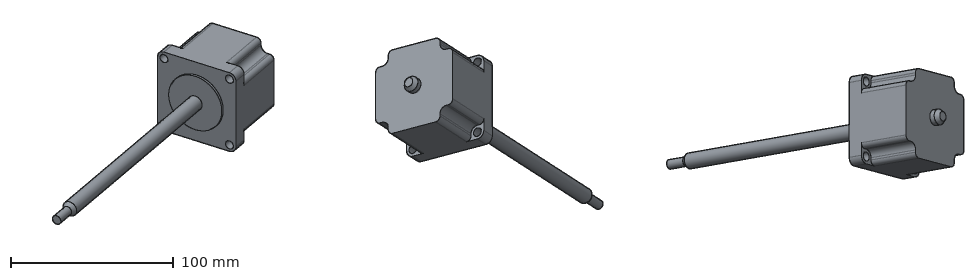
import cadquery as cq

total_length = 216.0
width = 56.3
half_width = width / 2

motor_length = 45.0
flange_thickness = 9.7
hole_offset = 23.5
hole_diameter = 5.6
corner_radius = half_width - hole_offset
relief_radius = corner_radius
lobe_radius = 3.2

pilot_diameter = 38.2
pilot_height = 1.7

shaft_radius = 5.0
journal_radius = 3.0
journal_length = 12.7
cone_length = 2.8
rear_shaft_length = 6.3
rear_end = motor_length + rear_shaft_length
front_end = rear_end - total_length


def xz_plane(y):
    """Plane at the given Y whose extrusions run toward +Y (local x is -X)."""
    return cq.Plane(origin=(0, y, 0), xDir=(-1, 0, 0), normal=(0, 1, 0))


def make_flange():
    plate = (
        cq.Workplane(xz_plane(0))
        .rect(width, width)
        .extrude(flange_thickness)
        .edges("|Y")
        .fillet(corner_radius)
    )
    holes = (
        cq.Workplane(xz_plane(0))
        .rect(2 * hole_offset, 2 * hole_offset, forConstruction=True)
        .vertices()
        .circle(hole_diameter / 2)
        .extrude(flange_thickness)
    )
    return plate.cut(holes)


def make_body():
    """Square body with a round-bottomed relief along every corner."""
    body_length = motor_length - flange_thickness
    body = cq.Workplane(xz_plane(flange_thickness)).rect(width, width).extrude(body_length)
    relief_size = corner_radius + relief_radius
    relief_center = half_width - relief_size / 2
    for x_side in (-1, 1):
        for z_side in (-1, 1):
            inner_edge = ("<X" if x_side > 0 else ">X") + " and " + ("<Z" if z_side > 0 else ">Z")
            relief = (
                cq.Workplane(xz_plane(flange_thickness))
                .center(-x_side * relief_center, z_side * relief_center)
                .rect(relief_size, relief_size)
                .extrude(body_length)
                .edges("|Y")
                .edges(inner_edge)
                .fillet(relief_radius)
            )
            body = body.cut(relief)
    lobe_edges = body.edges("|Y").edges("<X or >X or <Z or >Z")
    return lobe_edges.fillet(lobe_radius)


def make_pilot():
    return cq.Workplane(xz_plane(-pilot_height)).circle(pilot_diameter / 2).extrude(pilot_height)


def make_shaft():
    """Through shaft with coned ends and a reduced front journal."""
    journal_end = front_end + journal_length
    return (
        cq.Workplane("XY")
        .moveTo(0, front_end)
        .lineTo(journal_radius, front_end)
        .lineTo(journal_radius, journal_end)
        .lineTo(shaft_radius, journal_end + cone_length)
        .lineTo(shaft_radius, rear_end - cone_length)
        .lineTo(journal_radius, rear_end)
        .lineTo(0, rear_end)
        .close()
        .revolve(360, (0, 0, 0), (0, 1, 0))
    )


result = make_flange().union(make_body()).union(make_pilot()).union(make_shaft())